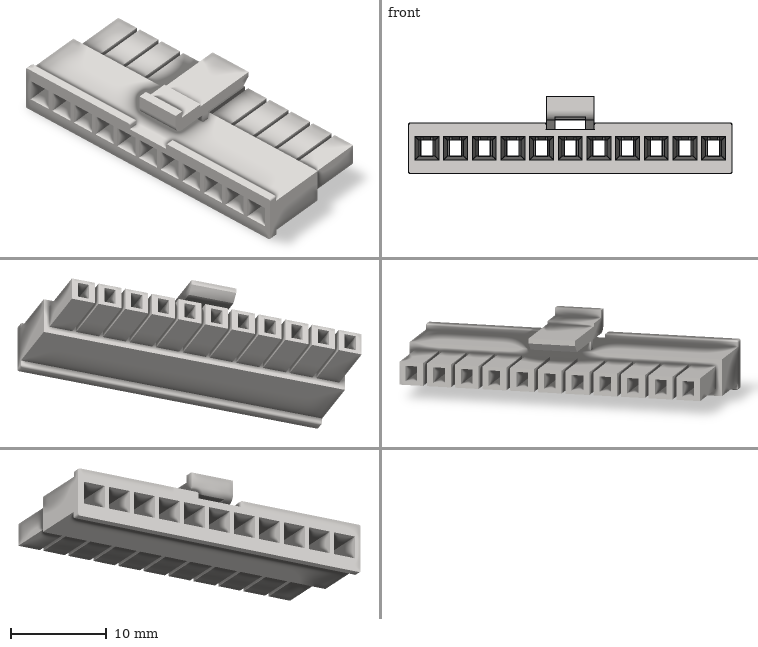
import cadquery as cq

length = 33.85
depth = 14.0
flange_height = 5.3
flange_depth = 1.05
flange_overhang = 0.7
flange_round = 0.2
body_depth = 7.58
body_bottom = flange_overhang
body_top = 4.65

positions = 11
row_length = 30.0
pitch = row_length / (positions - 1)
sleeve_width = 2.57
sleeve_height = 2.45
cavity_middle = (body_bottom + body_top) / 2

mouth_width = 2.5
mouth_height = 2.45
throat_width = 1.7
throat_height = 1.65
taper_depth = 1.7
taper_start = body_depth - taper_depth
passage_width = 1.25
slit_width = 0.25
slit_offset = 0.5
slit_height = 1.15
slit_top = cavity_middle + slit_height

latch_width = 5.0
latch_front = 1.55
latch_back = 13.2
latch_bottom = 5.62
lever_top = 6.97
step_top = 7.28
step_back = 5.52
latch_top = 8.1
lip_back = 2.57
latch_radius = 0.98
tip_chamfer = 0.8
leg_front = 5.92
leg_back = 6.75
leg_gap = 3.15
groove_depth = 0.3


def block(width, y_front, y_back, z_bottom, z_top, x_middle=0.0):
    """Box centred on x_middle, given by its front, back, bottom and top."""
    box = cq.Workplane("XY").box(
        width, y_back - y_front, z_top - z_bottom, centered=(True, False, False)
    )
    return box.translate((x_middle, y_front, z_bottom))


def make_flange():
    """Front plate, rounded behind and along its ends, with a gap in its top below the latch."""
    flange = block(length, 0, flange_depth, 0, body_top)
    flange = flange.faces("<Z").edges(">Y or <X or >X").fillet(flange_round)
    rim_length = (length - latch_width) / 2
    rim_middle = (length + latch_width) / 4
    for side in (-1, 1):
        rim = block(rim_length, 0, flange_depth, body_top, flange_height, side * rim_middle)
        outer_end = ">X" if side > 0 else "<X"
        rim = rim.edges(f"(>Z and (>Y or <X or >X)) or (|Z and >Y and {outer_end})").fillet(flange_round)
        flange = flange.union(rim)
    return flange


def make_latch():
    """Lever with a raised front lip, grooved below and standing on two legs."""
    profile = (
        cq.Workplane("YZ")
        .moveTo(latch_front + latch_radius, latch_bottom)
        .lineTo(latch_back - tip_chamfer, latch_bottom)
        .lineTo(latch_back, latch_bottom + tip_chamfer)
        .lineTo(latch_back, lever_top)
        .lineTo(step_back, lever_top)
        .lineTo(step_back, step_top)
        .lineTo(lip_back, step_top)
        .lineTo(lip_back, latch_top)
        .lineTo(latch_front, latch_top)
        .lineTo(latch_front, latch_bottom + latch_radius)
        .radiusArc((latch_front + latch_radius, latch_bottom), -latch_radius)
        .close()
    )
    lever = profile.extrude(latch_width / 2, both=True)
    legs = block(latch_width, leg_front, leg_back, body_top, latch_bottom)
    gap = block(leg_gap, latch_front, leg_back, body_top, latch_bottom + groove_depth)
    return lever.union(legs).cut(gap)


def make_cavity(x_middle):
    """Straight mouth tapering to a narrow rear passage, with two slits in the taper roof."""
    taper = (
        cq.Workplane("XZ", origin=(x_middle, taper_start, cavity_middle))
        .rect(mouth_width, mouth_height)
        .workplane(offset=-taper_depth)
        .rect(throat_width, throat_height)
        .loft()
    )
    mouth_bottom = cavity_middle - mouth_height / 2
    mouth = block(mouth_width, 0, taper_start, mouth_bottom, mouth_bottom + mouth_height, x_middle)
    passage_bottom = cavity_middle - throat_height / 2
    passage_top = cavity_middle + throat_height / 2
    passage = block(passage_width, taper_start, depth, passage_bottom, passage_top, x_middle)
    cavity = mouth.union(taper).union(passage)
    for side in (-1, 1):
        x_slit = x_middle + side * slit_offset
        slit = block(slit_width, taper_start, body_depth, cavity_middle, slit_top, x_slit)
        cavity = cavity.union(slit)
    return cavity


body = block(length, 0, body_depth, body_bottom, body_top)
result = body.union(make_flange()).union(make_latch())

for index in range(positions):
    x_middle = index * pitch - row_length / 2
    sleeve_bottom = cavity_middle - sleeve_height / 2
    sleeve_top = cavity_middle + sleeve_height / 2
    sleeve = block(sleeve_width, body_depth, depth, sleeve_bottom, sleeve_top, x_middle)
    result = result.union(sleeve).cut(make_cavity(x_middle))